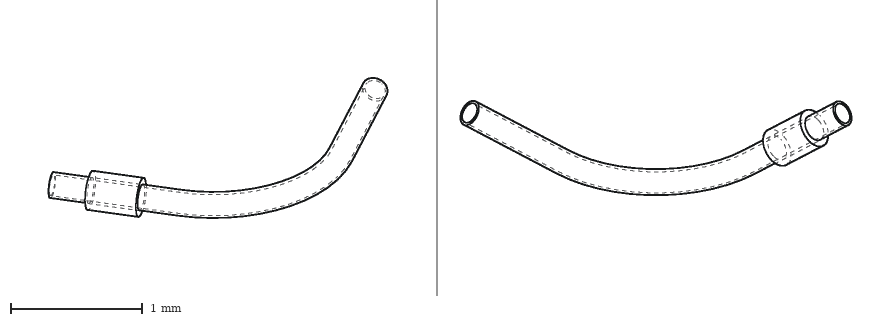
import cadquery as cq

core_diameter = 0.16
jacket_diameter = 0.2
sleeve_diameter = 0.3
straight_length = 1.0
bend_radius = 1.0
sleeve_start = 0.3
sleeve_length = 0.4


def bent_path():
    """Centreline: straight along +X, quarter bend, straight along +Y."""
    bend_end_x = straight_length + bend_radius
    return (
        cq.Workplane("XY")
        .lineTo(straight_length, 0)
        .tangentArcPoint((bend_end_x, bend_radius), relative=False)
        .lineTo(bend_end_x, bend_radius + straight_length)
    )


def make_core():
    """Solid inner conductor running the full length of the wire."""
    return cq.Workplane("YZ").circle(core_diameter / 2).sweep(bent_path())


def make_jacket():
    """Tube that encloses the core over its full length."""
    return (
        cq.Workplane("YZ")
        .circle(jacket_diameter / 2)
        .circle(core_diameter / 2)
        .sweep(bent_path())
    )


def make_sleeve():
    """Short collar fitted around the first straight run of the jacket."""
    return (
        cq.Workplane("YZ", origin=(sleeve_start, 0, 0))
        .circle(sleeve_diameter / 2)
        .circle(jacket_diameter / 2)
        .extrude(sleeve_length)
    )


core = make_core()
jacket = make_jacket()
sleeve = make_sleeve()

result = cq.Compound.makeCompound([core.val(), jacket.val(), sleeve.val()])